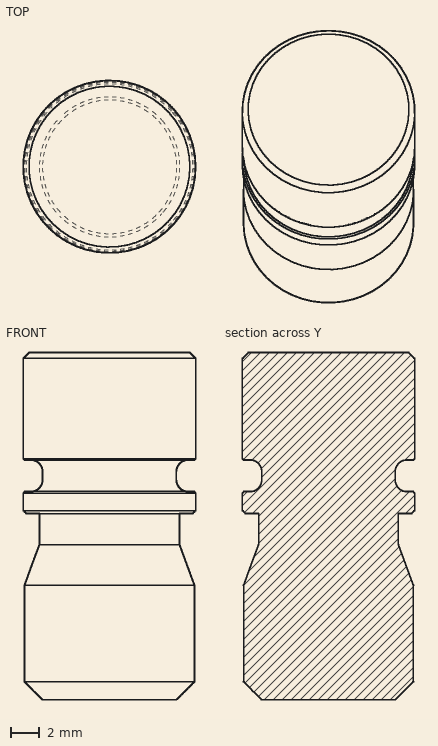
import cadquery as cq
import math

head_diameter = 12.0
groove_diameter = 9.31
neck_diameter = 9.75
body_diameter = 11.82

total_height = 24.13
head_bottom = 16.65
collar_top = 14.48
collar_bottom = 12.93
taper_top = 10.79
taper_bottom = 7.96

top_chamfer = 0.4
head_lower_chamfer = 0.1
collar_upper_chamfer = 0.12
collar_lower_chamfer = 0.22
bottom_chamfer = 1.25
groove_fillet = 0.8

head_radius = head_diameter / 2
groove_radius = groove_diameter / 2
neck_radius = neck_diameter / 2
body_radius = body_diameter / 2

fillet_edge_radius = groove_radius + groove_fillet
arc_mid_offset = groove_fillet * (1 - math.sqrt(0.5))
arc_mid_radius = groove_radius + arc_mid_offset

profile = (
    cq.Workplane("XZ")
    .moveTo(0, 0)
    .lineTo(body_radius - bottom_chamfer, 0)
    .lineTo(body_radius, bottom_chamfer)
    .lineTo(body_radius, taper_bottom)
    .lineTo(neck_radius, taper_top)
    .lineTo(neck_radius, collar_bottom)
    .lineTo(head_radius - collar_lower_chamfer, collar_bottom)
    .lineTo(head_radius, collar_bottom + collar_lower_chamfer)
    .lineTo(head_radius, collar_top - collar_upper_chamfer)
    .lineTo(head_radius - collar_upper_chamfer, collar_top)
    .lineTo(fillet_edge_radius, collar_top)
    .threePointArc((arc_mid_radius, collar_top + arc_mid_offset), (groove_radius, collar_top + groove_fillet))
    .lineTo(groove_radius, head_bottom - groove_fillet)
    .threePointArc((arc_mid_radius, head_bottom - arc_mid_offset), (fillet_edge_radius, head_bottom))
    .lineTo(head_radius - head_lower_chamfer, head_bottom)
    .lineTo(head_radius, head_bottom + head_lower_chamfer)
    .lineTo(head_radius, total_height - top_chamfer)
    .lineTo(head_radius - top_chamfer, total_height)
    .lineTo(0, total_height)
    .close()
)

result = profile.revolve(360, (0, 0, 0), (0, 1, 0))